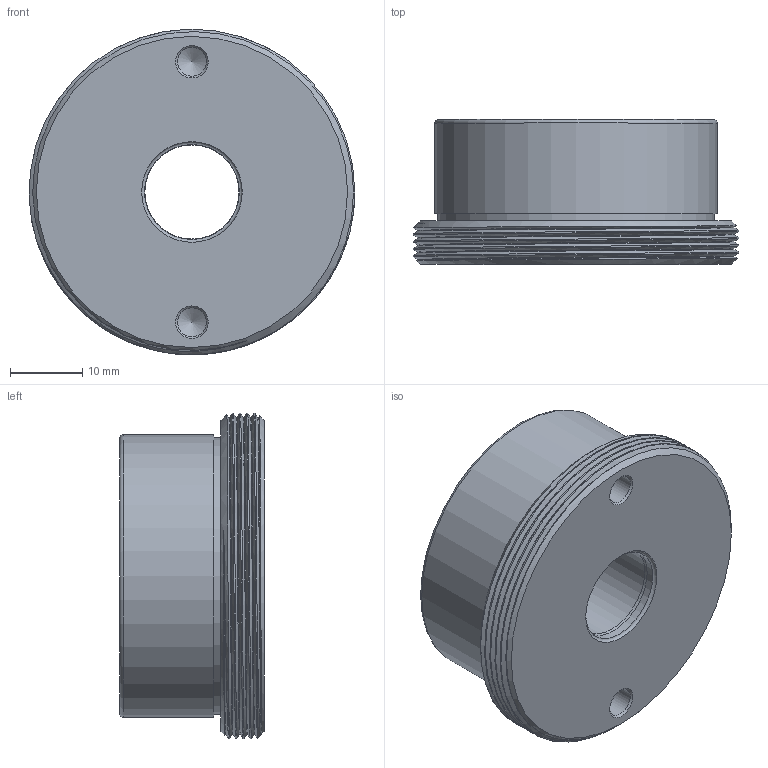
import cadquery as cq
import math

total_length = 20.0
flange_length = 6.0
relief_length = 1.0

thread_diameter = 45.0
relief_diameter = 38.2
body_diameter = 39.0
bore_diameter = 13.0

flange_chamfer = 1.0
body_fillet = 0.5
bore_fillet = 0.4

mouth_diameter = 13.1
mouth_depth = 1.5
step_length = 0.4

thread_pitch = 1.0
thread_depth = 0.6134 * thread_pitch
thread_root_flat = thread_pitch / 8
thread_angle = 60.0
thread_start = 0.13
thread_length = flange_length
cutter_clearance = 0.05

pin_hole_diameter = 4.0
pin_hole_spacing = 36.0
pin_hole_depth = 5.0
pin_hole_chamfer = 0.25
drill_point_angle = 118.0


def revolve_about_y(profile):
    """Turn an (x = radius, y = axial position) profile about the Y axis."""
    return profile.close().revolve(360, (0, 0, 0), (0, 1, 0))


def make_body():
    """Chamfered flange, relief groove and cylindrical body as one solid of revolution."""
    flange_radius = thread_diameter / 2
    relief_radius = relief_diameter / 2
    body_radius = body_diameter / 2
    body_start = flange_length + relief_length
    profile = (
        cq.Workplane("XY")
        .lineTo(flange_radius - flange_chamfer, 0)
        .lineTo(flange_radius, flange_chamfer)
        .lineTo(flange_radius, flange_length - flange_chamfer)
        .lineTo(flange_radius - flange_chamfer, flange_length)
        .lineTo(relief_radius, flange_length)
        .lineTo(relief_radius, body_start)
        .lineTo(body_radius, body_start)
        .lineTo(body_radius, total_length - body_fillet)
        .radiusArc((body_radius - body_fillet, total_length), -body_fillet)
        .lineTo(0, total_length)
    )
    return revolve_about_y(profile)


def make_bore():
    """Through bore with a rounded, slightly wider mouth that tapers to the bore diameter."""
    bore_radius = bore_diameter / 2
    mouth_radius = mouth_diameter / 2
    profile = (
        cq.Workplane("XY")
        .lineTo(mouth_radius + bore_fillet, 0)
        .radiusArc((mouth_radius, bore_fillet), -bore_fillet)
        .lineTo(mouth_radius, mouth_depth)
        .lineTo(bore_radius, mouth_depth + step_length)
        .lineTo(bore_radius, total_length)
        .lineTo(0, total_length)
    )
    return revolve_about_y(profile)


def make_pin_hole(z_position):
    """Chamfered blind hole with a drill-point bottom."""
    radius = pin_hole_diameter / 2
    point_length = radius / math.tan(math.radians(drill_point_angle / 2))
    profile = (
        cq.Workplane("XY")
        .lineTo(radius + pin_hole_chamfer, 0)
        .lineTo(radius, pin_hole_chamfer)
        .lineTo(radius, pin_hole_depth)
        .lineTo(0, pin_hole_depth + point_length)
    )
    return revolve_about_y(profile).translate((0, 0, z_position))


def make_thread_cutter():
    """Right-handed helical groove that runs out into both flange chamfers."""
    root_radius = thread_diameter / 2 - thread_depth
    outer_radius = thread_diameter / 2 + cutter_clearance
    root_half = thread_root_flat / 2
    flank_slope = math.tan(math.radians(thread_angle / 2))
    outer_half = root_half + flank_slope * (outer_radius - root_radius)
    corners = [
        (root_radius, -root_half),
        (outer_radius, -outer_half),
        (outer_radius, outer_half),
        (root_radius, root_half),
    ]
    helices = [
        cq.Wire.makeHelix(thread_pitch, thread_length, radius, cq.Vector(0, 0, offset))
        for radius, offset in corners
    ]
    faces = []
    for index, helix in enumerate(helices):
        faces.append(cq.Face.makeRuledSurface(helices[index - 1], helix))
    for end in (0, 1):
        end_corners = [helix.positionAt(end) for helix in helices]
        faces.append(cq.Face.makeFromWires(cq.Wire.makePolygon(end_corners, close=True)))
    shell = cq.Shell.makeShell(faces)
    cutter = cq.Workplane(obj=cq.Solid.makeSolid(shell))
    return cutter.rotate((0, 0, 0), (1, 0, 0), -90).translate((0, thread_start, 0))


result = make_body().cut(make_bore())
for side in (-1, 1):
    result = result.cut(make_pin_hole(side * pin_hole_spacing / 2))
result = result.cut(make_thread_cutter())